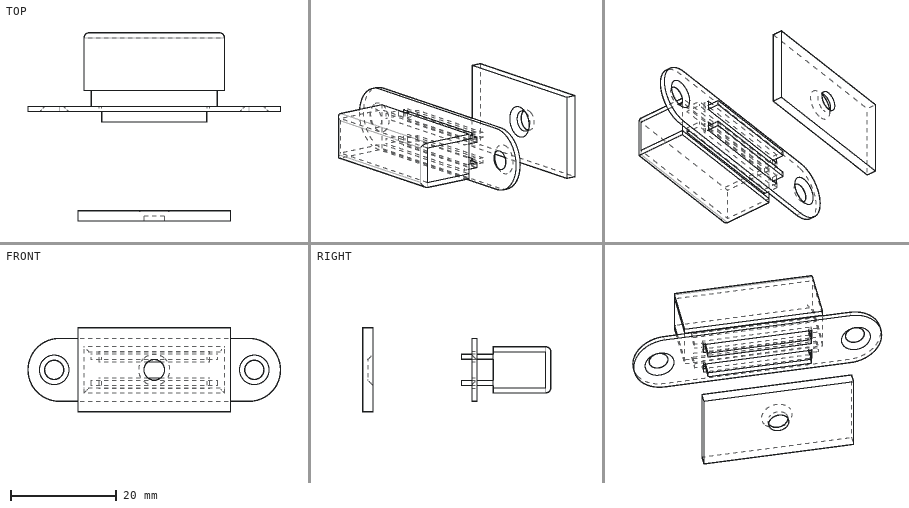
import cadquery as cq


plate_length = 48.0
plate_height = 12.0
plate_thickness = 1.0
screw_spacing = 38.0
screw_hole_diameter = 3.6
countersink_diameter = 5.6

pole_tip_width = 20.0
pole_base_width = 24.0
pole_thickness = 1.0
pole_spacing = 5.0
pole_base_depth = 3.0
pole_tip_projection = 2.0
slot_width = 21.0
slot_height = 2.0

housing_length = 26.7
housing_depth = 11.0
housing_height = 8.8
housing_wall = 1.0
housing_fillet = 1.0

strike_length = 29.0
strike_height = 16.0
strike_thickness = 2.0
strike_hole_diameter = 3.9
strike_countersink_diameter = 5.9
strike_countersink_depth = 1.0
strike_gap = 16.77

plate_front = -plate_thickness
pole_tip_front = plate_front - pole_tip_projection
strike_back = pole_tip_front - strike_gap
housing_front = pole_base_depth
housing_back = housing_front + housing_depth

pole_heights = (-pole_spacing / 2, pole_spacing / 2)


def block(length, height, y_front, y_back, z_center=0.0):
    """Box centred on X = 0, reaching from y_front to y_back."""
    depth = y_back - y_front
    y_center = (y_front + y_back) / 2
    return cq.Workplane("XY").box(length, depth, height).translate((0, y_center, z_center))


def make_mounting_plate():
    """Round-ended plate with two countersunk screw holes and two pole slots."""
    plate = cq.Workplane("XZ").slot2D(plate_length, plate_height).extrude(plate_thickness)
    for x in (-screw_spacing / 2, screw_spacing / 2):
        countersink = cq.Solid.makeCone(
            screw_hole_diameter / 2,
            countersink_diameter / 2,
            plate_thickness,
            pnt=cq.Vector(x, 0, 0),
            dir=cq.Vector(0, -1, 0),
        )
        plate = plate.cut(cq.Workplane(obj=countersink))
    for z in pole_heights:
        plate = plate.cut(block(slot_width, slot_height, plate_front, 0, z))
    return plate


def make_pole_piece(z):
    """Stepped iron strip: a wide base behind the plate and a narrower tip through its slot."""
    base = block(pole_base_width, pole_thickness, 0, housing_front, z)
    tip = block(pole_tip_width, pole_thickness, pole_tip_front, 0, z)
    return base.union(tip)


def magnet_envelope():
    """Space inside the channel, open at the front and at both ends."""
    return block(
        housing_length,
        housing_height - 2 * housing_wall,
        housing_front,
        housing_back - housing_wall,
    )


def make_housing():
    """U-shaped channel wrapping the magnet, with all edges of its back face rounded."""
    outer = block(housing_length, housing_height, housing_front, housing_back)
    return outer.faces(">Y").edges().fillet(housing_fillet).cut(magnet_envelope())


def make_strike_plate():
    """Flat plate with a central hole, countersunk from the back face."""
    strike_front = strike_back - strike_thickness
    strike = block(strike_length, strike_height, strike_front, strike_back)
    bore = cq.Solid.makeCylinder(
        strike_hole_diameter / 2,
        strike_thickness,
        pnt=cq.Vector(0, strike_front, 0),
        dir=cq.Vector(0, 1, 0),
    )
    countersink = cq.Solid.makeCone(
        strike_countersink_diameter / 2,
        strike_hole_diameter / 2,
        strike_countersink_depth,
        pnt=cq.Vector(0, strike_back, 0),
        dir=cq.Vector(0, -1, 0),
    )
    return strike.cut(cq.Workplane(obj=bore)).cut(cq.Workplane(obj=countersink))


mounting_plate = make_mounting_plate()
pole_pieces = [make_pole_piece(z) for z in pole_heights]
housing = make_housing()
magnet = magnet_envelope()
strike_plate = make_strike_plate()

result = cq.Compound.makeCompound([
    mounting_plate.val(),
    *[pole_piece.val() for pole_piece in pole_pieces],
    housing.val(),
    magnet.val(),
    strike_plate.val(),
])